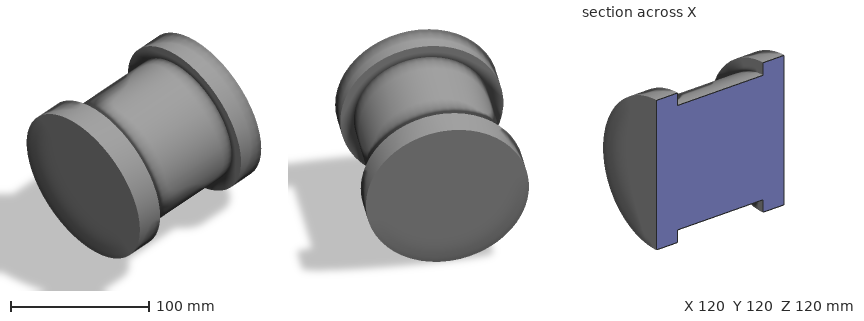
import cadquery as cq

length = 120.0
flange_diameter = 120.0
flange_thickness = length / 6
core_diameter = flange_diameter * 5 / 6


def disc(diameter, thickness, start_y):
    """Solid cylinder along +Y, centred on the Y axis, starting at start_y."""
    plane = cq.Plane(origin=(0, start_y, 0), xDir=(1, 0, 0), normal=(0, 1, 0))
    return cq.Workplane(plane).circle(diameter / 2).extrude(thickness)


result = disc(core_diameter, length, -length / 2)
for flange_start in (-length / 2, length / 2 - flange_thickness):
    result = result.union(disc(flange_diameter, flange_thickness, flange_start))
result = result.clean()